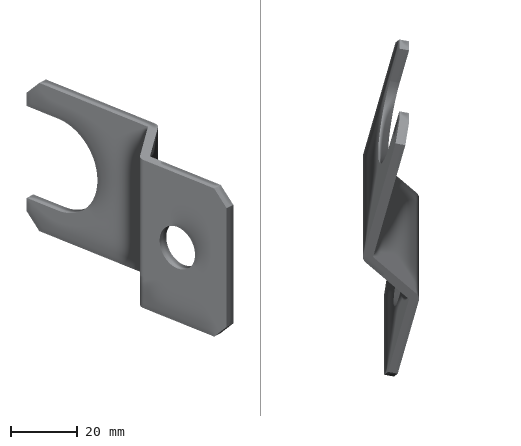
import cadquery as cq
import math

length = 94.0
depth = 20.0
height = 50.0
thickness = 3.0
corner_chamfer = 5.0

rear_bend_x = 48.0
front_bend_x = 61.0

slot_width = 31.0
slot_depth = 28.0
hole_diameter = 14.0
hole_x = 74.45

rear_inner_y = depth - thickness
bend_run = front_bend_x - rear_bend_x
bend_drop = rear_inner_y - thickness
corner_distance = math.hypot(bend_run, bend_drop)
web_angle = math.atan2(bend_drop, bend_run) + math.asin(thickness / corner_distance)


def around(x, y, angle):
    """Point one sheet thickness away from (x, y), at an angle from +X in radians."""
    return (x + thickness * math.cos(angle), y + thickness * math.sin(angle))


def bent_sheet():
    """Z-shaped sheet with sharp inside corners and rounded outside bends."""
    up = math.pi / 2
    web_normal = up - web_angle
    arc_middle = (up + web_normal) / 2
    return (
        cq.Workplane("XY")
        .moveTo(0, rear_inner_y)
        .lineTo(0, depth)
        .lineTo(rear_bend_x, depth)
        .threePointArc(
            around(rear_bend_x, rear_inner_y, arc_middle),
            around(rear_bend_x, rear_inner_y, web_normal),
        )
        .lineTo(front_bend_x, thickness)
        .lineTo(length, thickness)
        .lineTo(length, 0)
        .lineTo(front_bend_x, 0)
        .threePointArc(
            around(front_bend_x, thickness, arc_middle + math.pi),
            around(front_bend_x, thickness, web_normal + math.pi),
        )
        .lineTo(rear_bend_x, rear_inner_y)
        .close()
        .extrude(height / 2, both=True)
    )


def through_y(outline):
    """Extrude an XZ outline through the full depth of the part."""
    return outline.extrude(-depth)


def fork_slot():
    """Slot open at the -X end, with a semicircular bottom."""
    radius = slot_width / 2
    straight = slot_depth - radius
    return through_y(
        cq.Workplane("XZ")
        .moveTo(0, radius)
        .lineTo(straight, radius)
        .threePointArc((slot_depth, 0), (straight, -radius))
        .lineTo(0, -radius)
        .close()
    )


def bolt_hole():
    return through_y(cq.Workplane("XZ").center(hole_x, 0).circle(hole_diameter / 2))


sheet = bent_sheet().edges("(<X or >X) and |Y").chamfer(corner_chamfer)
result = sheet.cut(fork_slot()).cut(bolt_hole())